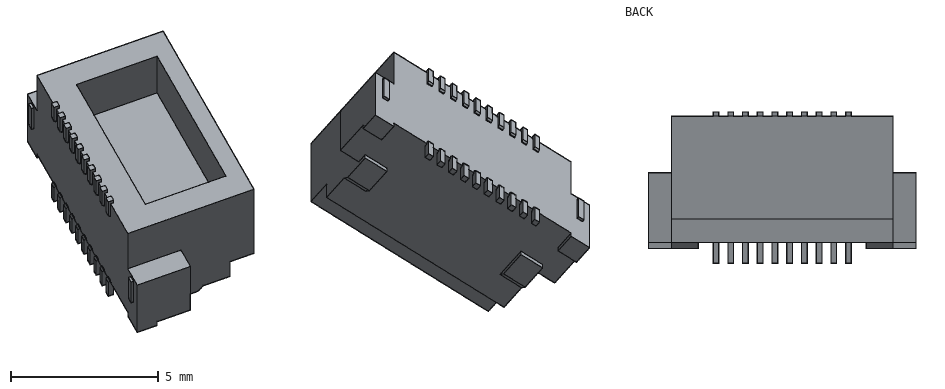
import cadquery as cq


overall_width = 9.1
wing_overhang = 0.78
body_width = overall_width - 2 * wing_overhang
body_depth = 4.705
body_height = 4.5
foot_height = 0.2
rear_step_depth = 0.89
rear_step_height = 1.0

rear_foot_width = 0.92
rear_foot_setback = 1.89
rear_foot_length = 1.19
rear_foot_back = body_depth - rear_foot_setback
rear_foot_front = rear_foot_back - rear_foot_length

wing_depth = 1.98
wing_height = 2.58
left_foot_depth = 0.69
right_foot_depth = 0.75

pocket_width = 5.71
pocket_length = 3.0
pocket_back_wall = 0.64
pocket_depth = 2.0

pin_count = 10
pin_pitch = 0.5
pin_size = 0.2
pin_length = 0.82
pin_chamfer = 0.06
pin_stand_off = 0.09
upper_pin_overhang = 0.15
lower_pin_overhang = 0.5

pad_width = 0.23
pad_height = 1.14
pad_offset = 4.13
pad_below_wing_top = 0.14


def box(x_range, y_range, z_range):
    """Axis-aligned box between pairs of limits."""
    size = [high - low for low, high in (x_range, y_range, z_range)]
    corner = (x_range[0], y_range[0], z_range[0])
    return cq.Workplane("XY").box(*size, centered=False).translate(corner)


def extrude_side_profile(points, x_center, width):
    """Extrude a (Y, Z) outline along X, centred on x_center."""
    profile = cq.Workplane("YZ").polyline(points).close()
    return profile.extrude(width / 2, both=True).translate((x_center, 0, 0))


def make_body():
    step_front = body_depth - rear_step_depth
    step_top = rear_step_height
    points = [
        (0, foot_height),
        (step_front, foot_height),
        (step_front, step_top),
        (body_depth, step_top),
        (body_depth, body_height),
        (0, body_height),
    ]
    return extrude_side_profile(points, 0, body_width)


def make_rear_foot(side):
    points = [
        (rear_foot_front, foot_height),
        (rear_foot_front, 0),
        (rear_foot_back - foot_height, 0),
        (rear_foot_back, foot_height),
    ]
    x_center = side * (body_width - rear_foot_width) / 2
    return extrude_side_profile(points, x_center, rear_foot_width)


def make_wing(side, foot_depth):
    points = [
        (0, 0),
        (foot_depth, 0),
        (foot_depth, foot_height),
        (wing_depth, foot_height),
        (wing_depth, wing_height),
        (0, wing_height),
    ]
    x_center = side * (body_width + wing_overhang) / 2
    return extrude_side_profile(points, x_center, wing_overhang)


def make_pad(side):
    x_center = side * pad_offset
    pad_top = wing_height - pad_below_wing_top
    return box(
        (x_center - pad_width / 2, x_center + pad_width / 2),
        (-pin_stand_off, 0),
        (pad_top - pad_height, pad_top),
    )


def make_pin(x_center, z_outer, outward):
    """Square pin whose inner front edge is chamfered; outward is +1 up or -1 down."""
    front = -pin_stand_off
    z_inner = z_outer - outward * pin_length
    points = [
        (front, z_outer),
        (front + pin_size, z_outer),
        (front + pin_size, z_inner),
        (front + pin_chamfer, z_inner),
        (front, z_inner + outward * pin_chamfer),
    ]
    return extrude_side_profile(points, x_center, pin_size)


def make_pocket():
    back = body_depth - pocket_back_wall
    return box(
        (-pocket_width / 2, pocket_width / 2),
        (back - pocket_length, back),
        (body_height - pocket_depth, body_height),
    )


result = make_body().cut(make_pocket())

for side, foot_depth in ((-1, left_foot_depth), (1, right_foot_depth)):
    result = result.union(make_wing(side, foot_depth))
    result = result.union(make_rear_foot(side))
    result = result.union(make_pad(side))

for index in range(pin_count):
    pin_x = (index - (pin_count - 1) / 2) * pin_pitch
    result = result.union(make_pin(pin_x, body_height + upper_pin_overhang, 1))
    result = result.union(make_pin(pin_x, -lower_pin_overhang, -1))